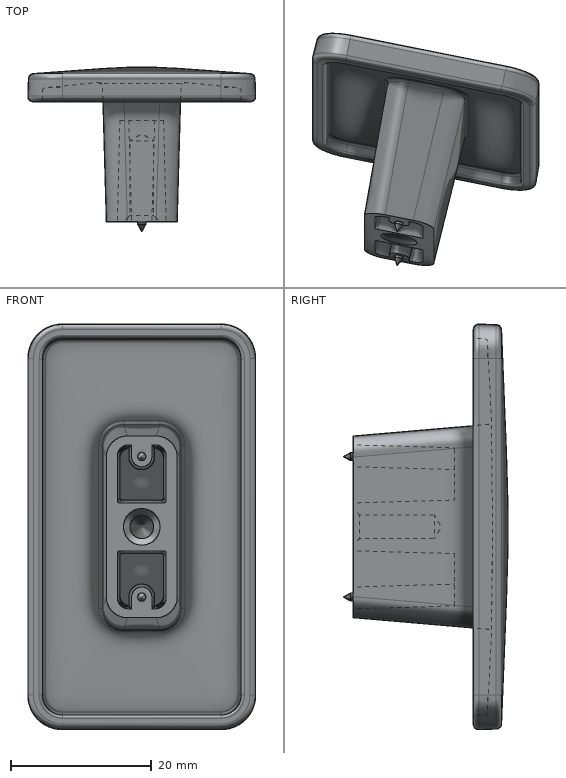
import cadquery as cq
import math


PLATE_WIDTH = 32.55
PLATE_LENGTH = 57.95
PLATE_CORNER = 5.0
PLATE_DEPTH = 4.05
PLATE_DRAFT = 2.0
PLATE_EDGE_ROUND = 0.8
CROWN = 0.9

RIM = 2.1
RECESS_DEPTH = 2.0
RECESS_ROUND = 0.45

POST_WIDTH = 10.15
POST_LENGTH = 25.95
POST_CORNER = 3.0
POST_HEIGHT = 17.15
POST_WIDTH_DRAFT = 1.6
POST_LENGTH_DRAFT = 4.9
ROOT_ROUND = 0.5
ROOT_OVERLAP = 0.3

POCKET_HALF_WIDTH = 3.5
POCKET_INNER = 3.4
POCKET_OUTER = 11.7
POCKET_OUTER_CORNER = 1.55
POCKET_INNER_CORNER = 0.35
POCKET_DEPTH = 14.5
POCKET_SIDE_INSET = 0.35
POCKET_END_INSET = 0.4
BOSS_RADIUS = 1.45
BOSS_GROWTH = 0.4
PIN_OFFSET = 10.0
PIN_DIAMETER = 1.15
PIN_SHANK = 0.35
PIN_HEIGHT = 1.4
PIN_ROOT = 0.6

SINK_DIAMETER = 5.2
HOLE_DIAMETER = 3.35
HOLE_DEPTH = 11.6
DRILL_POINT_ANGLE = 118.0


def plane_at(y):
    """Workplane facing -Y, with local x along X and local y along Z."""
    return cq.Workplane("XZ", origin=(0, y, 0))


def rounded_rectangle(width, length, corner):
    return cq.Sketch().rect(width, length).vertices().fillet(corner)


def dome_face(boundary, half_width, half_length, depth):
    """Dome that meets a flat boundary at the given depth and rises by CROWN at its centre."""
    guide_points = [
        cq.Vector(u * half_width, depth + CROWN * (1 - u**2) * (1 - v**2), v * half_length)
        for u in (-0.5, 0, 0.5)
        for v in (-0.5, 0, 0.5)
    ]
    return cq.Face.makeNSidedSurface(boundary.Edges(), guide_points)


def crowned_block(width, length, corner, depth, draft, back_round):
    """Drafted block from y = 0 to depth, back edge rounded, with a domed back."""
    block = (
        plane_at(0)
        .placeSketch(rounded_rectangle(width, length, corner))
        .extrude(-depth, taper=draft)
        .faces(">Y")
        .edges()
        .fillet(back_round)
    )
    flat_back = block.faces(">Y").val()
    box = flat_back.BoundingBox()
    dome = dome_face(flat_back.outerWire(), box.xmax, box.zmax, depth)
    walls = block.faces("not >Y").vals()
    return cq.Workplane(cq.Solid.makeSolid(cq.Shell.makeShell(walls + [dome])))


def make_plate():
    edge_round = PLATE_EDGE_ROUND
    draft = math.radians(PLATE_DRAFT)
    flare = 2 * edge_round * (1 - math.sin(draft)) * math.tan(draft)
    front_width = PLATE_WIDTH + flare
    front_length = PLATE_LENGTH + flare
    plate = crowned_block(front_width, front_length, PLATE_CORNER, PLATE_DEPTH, PLATE_DRAFT, edge_round)
    plate = plate.faces("<Y").edges().fillet(edge_round)
    recess_width = PLATE_WIDTH - 2 * RIM
    recess_length = PLATE_LENGTH - 2 * RIM
    recess_corner = PLATE_CORNER - RIM
    recess = crowned_block(recess_width, recess_length, recess_corner, RECESS_DEPTH, 0, RECESS_ROUND)
    plate = plate.cut(recess)
    recess_mouth = plate.faces("<Y").val().innerWires()[0]
    return plate.newObject(recess_mouth.Edges()).fillet(RECESS_ROUND)


def make_post():
    """Tapered post whose root is buried in the plate behind the recess floor."""
    root_depth = RECESS_DEPTH + CROWN + ROOT_OVERLAP
    run = POST_HEIGHT + root_depth
    root_width = POST_WIDTH + 2 * run * math.tan(math.radians(POST_WIDTH_DRAFT))
    root_length = POST_LENGTH + 2 * run * math.tan(math.radians(POST_LENGTH_DRAFT))
    root = rounded_rectangle(root_width, root_length, POST_CORNER)
    end = rounded_rectangle(POST_WIDTH, POST_LENGTH, POST_CORNER).moved(cq.Location(cq.Vector(0, 0, run)))
    return plane_at(root_depth).placeSketch(root, end).loft()


def pocket_outline(side_inset, end_inset):
    return (
        cq.Sketch()
        .push([(0, (POCKET_INNER + POCKET_OUTER) / 2)])
        .rect(2 * (POCKET_HALF_WIDTH - side_inset), POCKET_OUTER - POCKET_INNER - 2 * end_inset)
        .reset()
        .vertices(">Y")
        .fillet(POCKET_OUTER_CORNER)
        .reset()
        .vertices("<Y")
        .fillet(POCKET_INNER_CORNER)
    )


def boss_outline(radius):
    """Half-round boss, centred on the pin, that runs out past the pocket's outer wall."""
    beyond_wall = POCKET_OUTER + radius
    return (
        cq.Sketch()
        .segment((radius, PIN_OFFSET), (radius, beyond_wall))
        .segment((-radius, beyond_wall))
        .segment((-radius, PIN_OFFSET))
        .arc((0, PIN_OFFSET - radius), (radius, PIN_OFFSET))
        .assemble()
    )


def loft_into_post(mouth, floor):
    """Loft from an outline on the post end to another at the pocket floor."""
    lowered_floor = floor.moved(cq.Location(cq.Vector(0, 0, -POCKET_DEPTH)))
    return plane_at(-POST_HEIGHT).placeSketch(mouth, lowered_floor).loft()


def make_pocket():
    cavity = loft_into_post(pocket_outline(0, 0), pocket_outline(POCKET_SIDE_INSET, POCKET_END_INSET))
    boss = loft_into_post(boss_outline(BOSS_RADIUS), boss_outline(BOSS_RADIUS + BOSS_GROWTH))
    return cavity.cut(boss)


def make_pin():
    """Pointed pin whose root reaches slightly into the boss."""
    radius = PIN_DIAMETER / 2
    profile = (
        cq.Workplane("XY")
        .moveTo(0, -PIN_ROOT)
        .lineTo(radius, -PIN_ROOT)
        .lineTo(radius, PIN_SHANK)
        .lineTo(0, PIN_HEIGHT)
        .close()
    )
    pin = profile.revolve(360, (0, 0, 0), (0, 1, 0)).rotate((0, 0, 0), (1, 0, 0), 180)
    return pin.translate((0, -POST_HEIGHT, PIN_OFFSET))


def make_hole():
    """Countersunk blind hole with a drill point."""
    radius = HOLE_DIAMETER / 2
    sink = SINK_DIAMETER / 2
    point = radius / math.tan(math.radians(DRILL_POINT_ANGLE / 2))
    profile = (
        cq.Workplane("XY")
        .lineTo(sink, 0)
        .lineTo(radius, sink - radius)
        .lineTo(radius, HOLE_DEPTH)
        .lineTo(0, HOLE_DEPTH + point)
        .close()
    )
    return profile.revolve(360, (0, 0, 0), (0, 1, 0)).translate((0, -POST_HEIGHT, 0))


def both_ends(body):
    """Body together with its mirror image at the other end of the post."""
    return body.union(body.mirror("XY"))


def round_root(body):
    """Fillet the edges where the post meets the domed floor of the recess."""
    near_root = cq.selectors.BoxSelector(
        (-PLATE_WIDTH / 4, RECESS_DEPTH, -PLATE_LENGTH / 3),
        (PLATE_WIDTH / 4, RECESS_DEPTH + CROWN, PLATE_LENGTH / 3),
        boundingbox=True,
    )
    return body.edges(near_root).fillet(ROOT_ROUND)


result = round_root(make_plate().union(make_post()))
result = result.cut(both_ends(make_pocket()))
result = result.cut(make_hole())
result = result.union(both_ends(make_pin()))